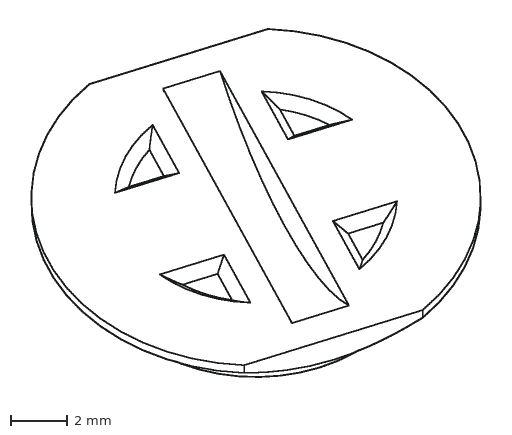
import cadquery as cq
import math

rim_diameter = 15.94
neck_diameter = 11.75
width_across_flats = 14.4
total_height = 3.0
rim_height = 0.41
cone_height = (rim_diameter - neck_diameter) / 2
neck_height = total_height - rim_height - cone_height

slot_length = 12.0
slot_width = 2.18
slot_floor_radius = 10.0

pocket_circle_radius = 5.0
pocket_wall_offset = 2.09
pocket_depth = 0.41
pocket_draft = 45.0


def make_body():
    rim_radius = rim_diameter / 2
    neck_radius = neck_diameter / 2
    profile = [
        (0, 0),
        (neck_radius, 0),
        (neck_radius, neck_height),
        (rim_radius, total_height - rim_height),
        (rim_radius, total_height),
        (0, total_height),
    ]
    turned = cq.Workplane("XZ").polyline(profile).close().revolve(360, (0, 0), (0, 1))
    between_flats = cq.Workplane("XY").box(
        width_across_flats, rim_diameter, total_height, centered=(True, True, False)
    )
    return turned.intersect(between_flats)


def make_slot():
    half_length = slot_length / 2
    center_above_top = math.sqrt(slot_floor_radius**2 - half_length**2)
    slot_depth = slot_floor_radius - center_above_top
    return (
        cq.Workplane("XZ")
        .moveTo(-half_length, total_height)
        .threePointArc((0, total_height - slot_depth), (half_length, total_height))
        .close()
        .extrude(slot_width / 2, both=True)
    )


def make_pocket(x_side, y_side):
    """Pocket in one quadrant, with all its walls drafted inward."""
    top = cq.Workplane("XY").workplane(offset=total_height)
    disc = top.circle(pocket_circle_radius).extrude(-pocket_depth, taper=pocket_draft)
    block_side = pocket_circle_radius
    block_center = pocket_wall_offset + block_side / 2
    block = (
        top.center(x_side * block_center, y_side * block_center)
        .rect(block_side, block_side)
        .extrude(-pocket_depth, taper=pocket_draft)
    )
    return disc.intersect(block)


result = make_body().cut(make_slot())
for x_side in (-1, 1):
    for y_side in (-1, 1):
        result = result.cut(make_pocket(x_side, y_side))